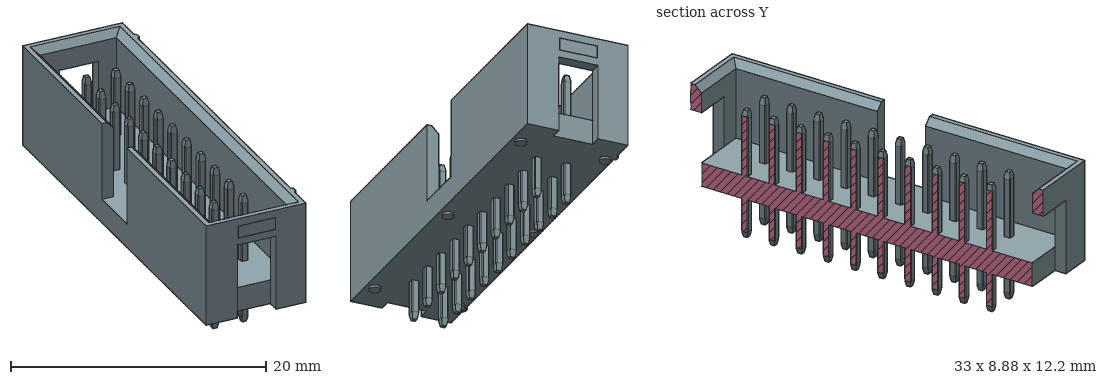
import cadquery as cq


body_length = 32.97
body_width = 8.68
body_height = 8.85
body_center_y = -0.05
wall = 1.02
floor_thickness = 2.1
rim_width = 0.43
rim_chamfer = wall - rim_width

notch_width = 4.5
window_width = 3.35
window_top = 6.5

pin_count = 10
pin_pitch = 2.55
pin_size = 0.63
pin_top = 7.85
total_height = 12.2
pin_bottom = body_height - total_height
pin_tip_length = 0.63
pin_tip_size = 0.35
pin_edge_chamfer = 0.082

foot_diameter = 0.95
foot_height = 0.2
foot_spacing_x = 13.6
foot_offset_y = 3.63

rib_offset_x = 14.05
rib_height = 0.2
rib_width = 0.7
rib_crest_width = 0.4

total_length = 33
pad_thickness = total_length - body_length
pad_width = 3.25
pad_height = 1.05
pad_bottom = 7.13

front_y = body_center_y - body_width / 2
back_y = body_center_y + body_width / 2
end_x = body_length / 2


def block(length, width, height, x=0, y=0, bottom=0):
    """Box centred on (x, y) that stands on the given level."""
    return cq.Workplane("XY", origin=(x, y, bottom)).box(length, width, height, centered=(True, True, False))


def make_housing():
    """Open tray with an inward-sloping rim."""
    inner_length = body_length - 2 * wall
    inner_width = body_width - 2 * wall
    housing = block(body_length, body_width, body_height, y=body_center_y)
    cavity = block(
        inner_length, inner_width, body_height - floor_thickness, y=body_center_y, bottom=floor_thickness
    )
    rim_flare = (
        cq.Workplane("XY", origin=(0, body_center_y, body_height - rim_chamfer))
        .rect(inner_length, inner_width)
        .workplane(offset=rim_chamfer)
        .rect(body_length - 2 * rim_width, body_width - 2 * rim_width)
        .loft(ruled=True)
    )
    return housing.cut(cavity).cut(rim_flare)


def make_wall_openings():
    """Notch down to the floor in the front wall, and a full-depth slot in each end wall."""
    openings = block(
        notch_width, wall, body_height - floor_thickness, y=front_y + wall / 2, bottom=floor_thickness
    )
    for side in (-1, 1):
        openings = openings.add(block(wall, window_width, window_top, x=side * (end_x - wall / 2)))
    return openings.combine()


def make_pin():
    """Square pin with tapered ends and bevelled long edges."""
    pin = block(pin_size, pin_size, pin_top - pin_bottom, bottom=pin_bottom)
    pin = pin.edges("|Z").chamfer(pin_edge_chamfer)
    shaft_bottom = pin_bottom + pin_tip_length
    shaft_top = pin_top - pin_tip_length
    envelope = block(pin_size, pin_size, shaft_top - shaft_bottom, bottom=shaft_bottom)
    for level, direction in ((shaft_top, 1), (shaft_bottom, -1)):
        tip = (
            cq.Workplane("XY", origin=(0, 0, level))
            .rect(pin_size, pin_size)
            .workplane(offset=direction * pin_tip_length)
            .rect(pin_tip_size, pin_tip_size)
            .loft(ruled=True)
        )
        envelope = envelope.union(tip)
    return pin.intersect(envelope)


def make_feet():
    """Two rows of three round standoffs."""
    positions = [
        (column * foot_spacing_x, side * foot_offset_y) for column in (-1, 0, 1) for side in (-1, 1)
    ]
    return cq.Workplane("XY").pushPoints(positions).circle(foot_diameter / 2).extrude(-foot_height)


def make_rib(x):
    """Full-height trapezoidal rib on the back wall."""
    crest_y = back_y + rib_height
    return (
        cq.Workplane("XY")
        .moveTo(x - rib_width / 2, back_y)
        .lineTo(x - rib_crest_width / 2, crest_y)
        .lineTo(x + rib_crest_width / 2, crest_y)
        .lineTo(x + rib_width / 2, back_y)
        .close()
        .extrude(body_height)
    )


result = make_housing().cut(make_wall_openings()).union(make_feet())

for side in (-1, 1):
    result = result.union(make_rib(side * rib_offset_x))

result = result.union(
    block(pad_thickness, pad_width, pad_height, x=end_x + pad_thickness / 2, bottom=pad_bottom)
)

pin = make_pin()
for column in range(pin_count):
    pin_x = (column - (pin_count - 1) / 2) * pin_pitch
    for row in (-1, 1):
        result = result.union(pin.translate((pin_x, row * pin_pitch / 2, 0)))